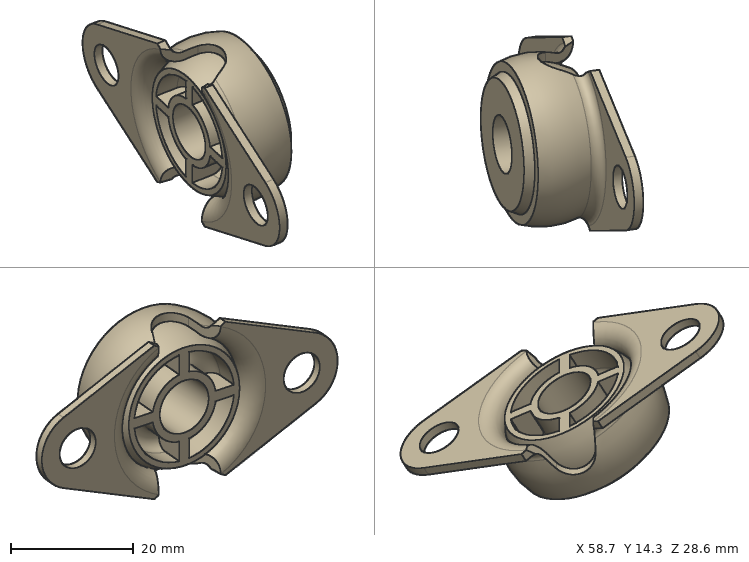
import cadquery as cq
import math

sheet = 1.5875
bolt_offset = 22.225
bolt_diameter = 7.14
lobe_radius = 7.135
tip_x = 7.05
tip_z = 14.285
tip_cut_x = 5.3
tip_cut_z = 13.26

housing_radius = 14.285
seat_radius = housing_radius - sheet
sphere_y = 7.94
housing_back = 12.7
neck_y = 3.68
bend_radius = 15.0

notch_depth = 8.0
notch_arc_radius = 3.97
notch_flank_angle = math.radians(24)

bearing_width = 12.7
bearing_front = sheet
bearing_back = bearing_front + bearing_width
bore_diameter = 9.69
hub_radius = 6.3
rim_radius = 9.91
spoke_width = 1.93
spoke_count = 4
pocket_wall_depth = 4.0


def sphere_section(radius, y):
    """Radius of the circle that the plane at height y cuts from a sphere of the given radius."""
    return math.sqrt(radius**2 - (y - sphere_y) ** 2)


def bend_middle(neck_radius, flat_y):
    """Middle point of the arc tangent to the flange at the bend radius and ending at the neck."""
    inset = bend_radius - neck_radius
    rise = neck_y - flat_y
    arc_radius = (inset**2 + rise**2) / (2 * rise)
    half_sweep = math.atan2(rise, inset)
    return (
        bend_radius - arc_radius * math.sin(half_sweep),
        flat_y + arc_radius * (1 - math.cos(half_sweep)),
    )


def y_prism(sketch, length):
    """Extrude an XZ sketch toward +Y."""
    return sketch.extrude(-length)


def housing_shell():
    """Spherical wall with its front bend and a short flat rim, revolved about Y."""
    inner_neck = sphere_section(seat_radius, neck_y)
    outer_neck = sphere_section(housing_radius, neck_y)
    profile = (
        cq.Workplane("XY")
        .moveTo(bend_radius, 0)
        .threePointArc(bend_middle(inner_neck, 0), (inner_neck, neck_y))
        .threePointArc((seat_radius, sphere_y), (sphere_section(seat_radius, housing_back), housing_back))
        .lineTo(sphere_section(housing_radius, housing_back), housing_back)
        .threePointArc((housing_radius, sphere_y), (outer_neck, neck_y))
        .threePointArc(bend_middle(outer_neck, sheet), (bend_radius, sheet))
        .close()
    )
    return profile.revolve(360, (0, 0, 0), (0, 1, 0))


def flange_outline():
    """Two rounded lobes joined by tangent edges that climb to the corners beside the notches."""
    run = bolt_offset - tip_x
    tangent_angle = math.acos(lobe_radius / math.hypot(run, tip_z))
    normal_angle = math.pi - math.atan2(tip_z, run) - tangent_angle
    tangent_x = bolt_offset + lobe_radius * math.cos(normal_angle)
    tangent_z = lobe_radius * math.sin(normal_angle)
    end_x = bolt_offset + lobe_radius
    return (
        cq.Workplane("XZ")
        .moveTo(-tip_cut_x, tip_cut_z)
        .lineTo(tip_cut_x, tip_cut_z)
        .lineTo(tip_x, tip_z)
        .lineTo(tangent_x, tangent_z)
        .threePointArc((end_x, 0), (tangent_x, -tangent_z))
        .lineTo(tip_x, -tip_z)
        .lineTo(tip_cut_x, -tip_cut_z)
        .lineTo(-tip_cut_x, -tip_cut_z)
        .lineTo(-tip_x, -tip_z)
        .lineTo(-tangent_x, -tangent_z)
        .threePointArc((-end_x, 0), (-tangent_x, tangent_z))
        .lineTo(-tip_x, tip_z)
        .close()
    )


def flange_plate():
    """Flat flange around the bend."""
    plate = y_prism(flange_outline(), sheet)
    opening = y_prism(cq.Workplane("XZ").circle(bend_radius), sheet)
    bolt_holes = y_prism(
        cq.Workplane("XZ").pushPoints([(-bolt_offset, 0), (bolt_offset, 0)]).circle(bolt_diameter / 2),
        sheet,
    )
    return plate.cut(opening).cut(bolt_holes)


def notch_cutter():
    """Round-topped, flared prism along Z that cuts both notches at once."""
    arc_centre_y = notch_depth - notch_arc_radius
    arc_end_x = notch_arc_radius * math.cos(notch_flank_angle)
    arc_end_y = arc_centre_y + notch_arc_radius * math.sin(notch_flank_angle)
    mouth_x = arc_end_x + arc_end_y * math.tan(notch_flank_angle)
    return (
        cq.Workplane("XY")
        .moveTo(-mouth_x, 0)
        .lineTo(-arc_end_x, arc_end_y)
        .threePointArc((0, notch_depth), (arc_end_x, arc_end_y))
        .lineTo(mouth_x, 0)
        .close()
        .extrude(2 * housing_radius, both=True)
    )


def make_housing():
    """Pressed housing: the shell, with its bend trimmed to the outline, on the flange."""
    shell = housing_shell()
    bend_zone = y_prism(cq.Workplane("XZ").circle(2 * bend_radius), neck_y)
    trimmed_bend = shell.intersect(y_prism(flange_outline(), neck_y))
    trimmed_shell = shell.cut(bend_zone).union(trimmed_bend)
    return trimmed_shell.union(flange_plate()).cut(notch_cutter())


def pocket_ring():
    """Annular groove with straight walls and a full-round floor, revolved about Y."""
    floor_radius = (rim_radius - hub_radius) / 2
    wall_end = bearing_front + pocket_wall_depth
    profile = (
        cq.Workplane("XY")
        .moveTo(hub_radius, bearing_front)
        .lineTo(hub_radius, wall_end)
        .threePointArc(((hub_radius + rim_radius) / 2, wall_end + floor_radius), (rim_radius, wall_end))
        .lineTo(rim_radius, bearing_front)
        .close()
    )
    return profile.revolve(360, (0, 0, 0), (0, 1, 0))


def make_bearing():
    """Ball-shaped bearing with a through bore and spoked pockets in its front face."""
    bore_radius = bore_diameter / 2
    ball = (
        cq.Workplane("XY")
        .moveTo(bore_radius, bearing_front)
        .lineTo(sphere_section(seat_radius, bearing_front), bearing_front)
        .threePointArc((seat_radius, sphere_y), (sphere_section(seat_radius, bearing_back), bearing_back))
        .lineTo(bore_radius, bearing_back)
        .close()
        .revolve(360, (0, 0, 0), (0, 1, 0))
    )
    pockets = pocket_ring()
    for index in range(spoke_count):
        spoke = cq.Workplane("XY").box(
            rim_radius + hub_radius, bearing_width, spoke_width, centered=(False, False, True)
        )
        spoke = spoke.translate((0, bearing_front, 0))
        pockets = pockets.cut(spoke.rotate((0, 0, 0), (0, 1, 0), index * 360 / spoke_count))
    return ball.cut(pockets)


housing = make_housing()
bearing = make_bearing()

result = cq.Compound.makeCompound([housing.val(), bearing.val()])